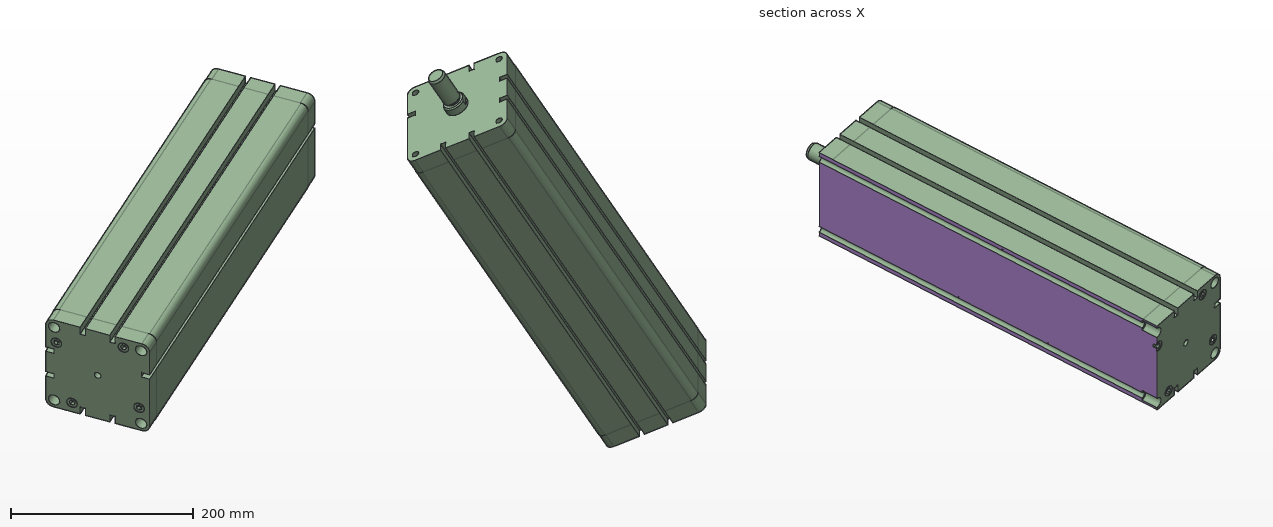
import cadquery as cq
total_length = 516.5
body_side = 123.5
rod_length = 50.5
cap_length = 19.0
body_end = total_length - rod_length
tube_length = body_end - 2 * cap_length

cap_corner_radius = 9.5
tube_corner_radius = 8.5

slot_width = 6.0
slot_depth = 10.0
slot_offset = 17.5

corner_hole_offset = 51.5
corner_hole_diameter = 8.0
counterbore_diameter = 13.5
counterbore_depth = 20.5
center_hole_diameter = 8.0
center_hole_depth = cap_length

screw_offset_long = 49.0
screw_offset_short = 30.5
screw_diameter = 12.5
screw_recess = 0.5
socket_across_corners = 6.5
socket_depth = 5.0

rod_diameter = 27.0
shoulder_length = 10.5
shoulder_chamfer = 1.5
flats_distance = 24.0
flats_length = 7.0
neck_diameter = 17.5
neck_length = 2.5
thread_diameter = 20.0
thread_chamfer = 3.0
tip_diameter = 17.5


def section(y):
    """Workplane across the body at y, with local x = X, local y = Z and normal -Y."""
    return cq.Workplane("XZ", origin=(0, y, 0))


def block(start, length, corner_radius):
    """Square prism from start towards +Y with rounded long edges."""
    prism = section(start).rect(body_side, body_side).extrude(-length)
    return prism.edges("|Y").fillet(corner_radius)


def drill(points, diameter, depth):
    """Cylinders entering the nose cap at Y = 0."""
    return section(0).pushPoints(points).circle(diameter / 2).extrude(-depth)


def make_body():
    """Tube between two end caps; the faces stay separate where the parts meet."""
    nose_cap = block(0, cap_length, cap_corner_radius)
    tube = block(cap_length, tube_length, tube_corner_radius)
    rod_cap = block(body_end - cap_length, cap_length, cap_corner_radius)
    return nose_cap.union(tube, clean=False).union(rod_cap, clean=False)


def make_slots():
    """Two slots on every side except +X, which has only the upper one."""
    slot_center = (body_side - slot_depth) / 2
    upright_points = [(x, z) for x in (-slot_offset, slot_offset) for z in (-slot_center, slot_center)]
    level_points = [(-slot_center, -slot_offset), (-slot_center, slot_offset), (slot_center, slot_offset)]
    upright = section(0).pushPoints(upright_points).rect(slot_width, slot_depth).extrude(-body_end)
    level = section(0).pushPoints(level_points).rect(slot_depth, slot_width).extrude(-body_end)
    return upright.add(level)


def make_holes():
    """Counterbored through holes in the corners and a blind hole in the center."""
    corners = [(x, z) for x in (-corner_hole_offset, corner_hole_offset)
               for z in (-corner_hole_offset, corner_hole_offset)]
    through = drill(corners, corner_hole_diameter, body_end)
    counterbores = drill(corners, counterbore_diameter, counterbore_depth)
    center = drill([(0, 0)], center_hole_diameter, center_hole_depth)
    return through.add(counterbores).add(center)


def make_screw_recesses():
    """Four slightly sunk screw heads with hexagon sockets, in a quarter-turn pattern."""
    x, z = screw_offset_short, screw_offset_long
    head = drill([(x, z)], screw_diameter, screw_recess)
    socket = section(0).center(x, z).polygon(6, socket_across_corners).extrude(-socket_depth)
    recess = head.union(socket)
    recesses = cq.Workplane("XZ")
    for quarter in range(4):
        recesses = recesses.add(recess.rotate((0, 0, 0), (0, 1, 0), 90 * quarter))
    return recesses


def make_rod():
    """Turned rod: shoulder, neck and threaded end, with two wrench flats facing X."""
    shoulder_end = body_end + shoulder_length
    neck_end = shoulder_end + neck_length
    outline = [
        (0, body_end - cap_length),
        (rod_diameter / 2, body_end - cap_length),
        (rod_diameter / 2, shoulder_end - shoulder_chamfer),
        (rod_diameter / 2 - shoulder_chamfer, shoulder_end),
        (neck_diameter / 2, shoulder_end),
        (neck_diameter / 2, neck_end),
        (thread_diameter / 2, neck_end),
        (thread_diameter / 2, total_length - thread_chamfer),
        (tip_diameter / 2, total_length),
        (0, total_length),
    ]
    rod = cq.Workplane("XY").polyline(outline).close().revolve(360, (0, 0, 0), (0, 1, 0))
    flat_block = section(shoulder_end - flats_length).rect(flats_distance, rod_diameter).extrude(-flats_length)
    outer_block = section(shoulder_end - flats_length).rect(2 * rod_diameter, rod_diameter).extrude(-flats_length)
    return rod.cut(outer_block.cut(flat_block))


def cut_all(solid, cutters):
    """Cut every cutter without merging the faces of the caps and the tube."""
    for cutter in cutters.vals():
        if isinstance(cutter, cq.Shape):
            solid = solid.cut(cq.Workplane(cutter), clean=False)
    return solid


body = make_body()
body = cut_all(body, make_slots())
body = cut_all(body, make_holes())
body = cut_all(body, make_screw_recesses())
result = body.union(make_rod(), clean=False)